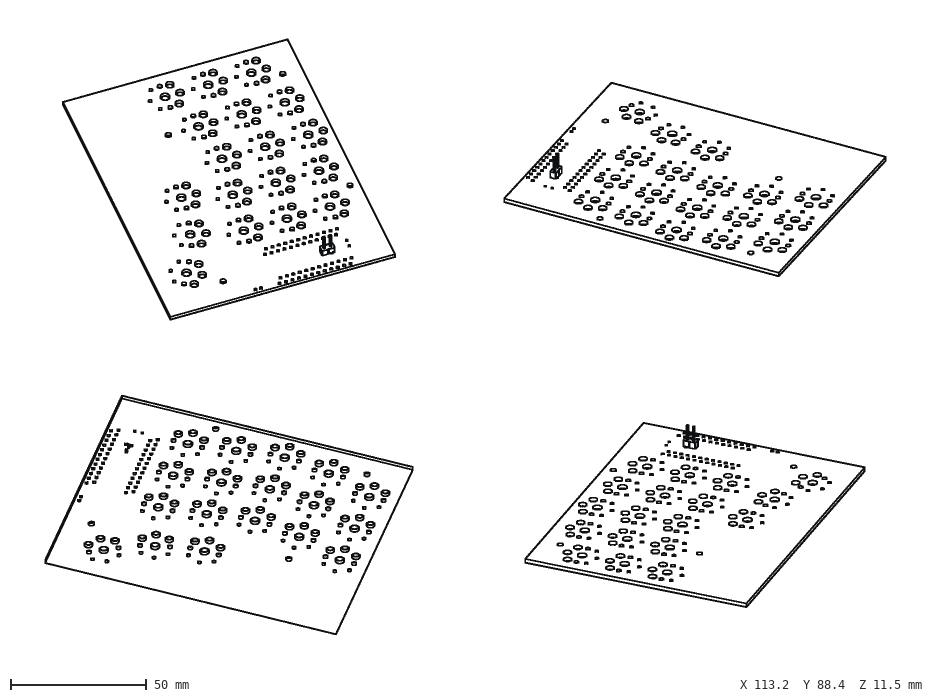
import cadquery as cq

BOARD_LENGTH = 113.2
BOARD_WIDTH = 88.4
BOARD_THICKNESS = 1.6

SWITCH_STEM_DIAMETER = 3.4
SOCKET_DIAMETER = 3.0
GUIDE_DIAMETER = 1.7
SOLDER_DIAMETER = 1.2
CENTRE_CONTACT_Y = 5.9
SIDE_CONTACT_X = 5.0
SIDE_CONTACT_Y = 3.7
GUIDE_X = 5.5

COLUMN_PITCH = 18.0
FIRST_COLUMN_X = -45.8
COLUMN_TOPS = [25.9, 32.4, 34.9, 32.4, 30.0]
ROW_PITCH = 17.0
ROWS_PER_COLUMN = 3

THUMB_KEYS = [(2.8, -19.8, 0), (20.9, -23.1, -15), (38.3, -31.0, -30)]

MOUNT_DIAMETER = 2.2
MOUNT_POINTS = [(-41.3, 36.6), (18.9, 40.5), (-27.8, -13.5), (46.9, -19.8)]

PIN_HOLE_DIAMETER = 1.0
PINS_PER_ROW = 12
PIN_ROW_LENGTH = 28.0
PIN_PITCH = PIN_ROW_LENGTH / (PINS_PER_ROW - 1)
PIN_ROW_SPACING = 15.3
FIRST_PIN_X = 37.4
FIRST_PIN_Y = 28.5

RESET_HOLE_DIAMETER = 0.8
RESET_POINTS = [(43.9, 29.9), (46.8, 29.9)]

HEADER_X = 46.6
HEADER_Y = 22.5
HEADER_PINS = 2
HOUSING_SIZE = PIN_PITCH
HOUSING_CHAMFER = HOUSING_SIZE / 10
PIN_SIZE = 0.65
PIN_TIP_CHAMFER = PIN_SIZE / 4
PIN_TOTAL_LENGTH = 11.5
PIN_BOTTOM_Z = -2.9

WIRE_HOLE_DIAMETER = 1.0
WIRE_HOLE_SPACING = 2.2
EDGE_WIRE_X = 54.9
EDGE_WIRE_TOP_Y = -7.9


def drill(plate, diameter, points):
    """Cut round through holes into the plate at the given points."""
    drills = (
        cq.Workplane("XY")
        .workplane(offset=-BOARD_THICKNESS)
        .pushPoints(points)
        .circle(diameter / 2)
        .extrude(BOARD_THICKNESS)
    )
    return plate.cut(drills)


def switch_locations():
    """Positions and rotations of all finger and thumb keys."""
    locations = []
    for column, top_y in enumerate(COLUMN_TOPS):
        for row in range(ROWS_PER_COLUMN):
            x = FIRST_COLUMN_X + column * COLUMN_PITCH
            y = top_y - row * ROW_PITCH
            locations.append(cq.Location(cq.Vector(x, y, 0)))
    for x, y, angle in THUMB_KEYS:
        locations.append(cq.Location(cq.Vector(x, y, 0), cq.Vector(0, 0, 1), angle))
    return locations


def cut_switches(plate):
    """Cut the hole pattern of every key switch."""
    hole_groups = [
        (SWITCH_STEM_DIAMETER, [(0, 0)]),
        (GUIDE_DIAMETER, [(-GUIDE_X, 0), (GUIDE_X, 0)]),
    ]
    for diameter, side in [(SOCKET_DIAMETER, 1), (SOLDER_DIAMETER, -1)]:
        contacts = [
            (0, side * CENTRE_CONTACT_Y),
            (-SIDE_CONTACT_X, side * SIDE_CONTACT_Y),
            (SIDE_CONTACT_X, side * SIDE_CONTACT_Y),
        ]
        hole_groups.append((diameter, contacts))

    locations = switch_locations()
    for diameter, offsets in hole_groups:
        points = []
        for location in locations:
            for x, y in offsets:
                moved = location * cq.Location(cq.Vector(x, y, 0))
                points.append(moved.toTuple()[0][:2])
        plate = drill(plate, diameter, points)
    return plate


def controller_points():
    """Pin positions of both pairs of controller rows."""
    points = []
    for shift_x, shift_y in [(0, 0), (PIN_PITCH, -PIN_PITCH / 2)]:
        for row_x in (FIRST_PIN_X, FIRST_PIN_X + PIN_ROW_SPACING):
            for pin in range(PINS_PER_ROW):
                points.append((row_x + shift_x, FIRST_PIN_Y + shift_y - pin * PIN_PITCH))
    return points


def header_points():
    """Pin centres of the header, running from the first pin towards -Y."""
    return [(HEADER_X, HEADER_Y - pin * PIN_PITCH) for pin in range(HEADER_PINS)]


def wire_points():
    """Centres of both pairs of wire holes."""
    return [
        (EDGE_WIRE_X, EDGE_WIRE_TOP_Y),
        (EDGE_WIRE_X, EDGE_WIRE_TOP_Y - WIRE_HOLE_SPACING),
        (HEADER_X - WIRE_HOLE_SPACING / 2, HEADER_Y),
        (HEADER_X + WIRE_HOLE_SPACING / 2, HEADER_Y),
    ]


def make_board():
    plate = (
        cq.Workplane("XY")
        .workplane(offset=-BOARD_THICKNESS)
        .rect(BOARD_LENGTH, BOARD_WIDTH)
        .extrude(BOARD_THICKNESS)
    )
    plate = cut_switches(plate)
    plate = drill(plate, MOUNT_DIAMETER, MOUNT_POINTS)
    plate = drill(plate, PIN_HOLE_DIAMETER, controller_points())
    plate = drill(plate, RESET_HOLE_DIAMETER, RESET_POINTS)
    plate = drill(plate, WIRE_HOLE_DIAMETER, wire_points())
    return plate.cut(make_pins())


def make_pins():
    """Square header pins with chamfered tips."""
    return (
        cq.Workplane("XY")
        .workplane(offset=PIN_BOTTOM_Z)
        .pushPoints(header_points())
        .rect(PIN_SIZE, PIN_SIZE)
        .extrude(PIN_TOTAL_LENGTH)
        .faces("<Z or >Z")
        .chamfer(PIN_TIP_CHAMFER)
    )


def make_header():
    """Chamfered plastic blocks in a row on the board, joined to the pins that pass through them."""
    blocks = (
        cq.Workplane("XY")
        .pushPoints(header_points())
        .rect(HOUSING_SIZE, HOUSING_SIZE)
        .extrude(HOUSING_SIZE, combine=False)
        .edges("|Z")
        .chamfer(HOUSING_CHAMFER)
    )
    return blocks.union(make_pins())


board = make_board()
header = make_header()

result = cq.Compound.makeCompound([board.val(), header.val()])